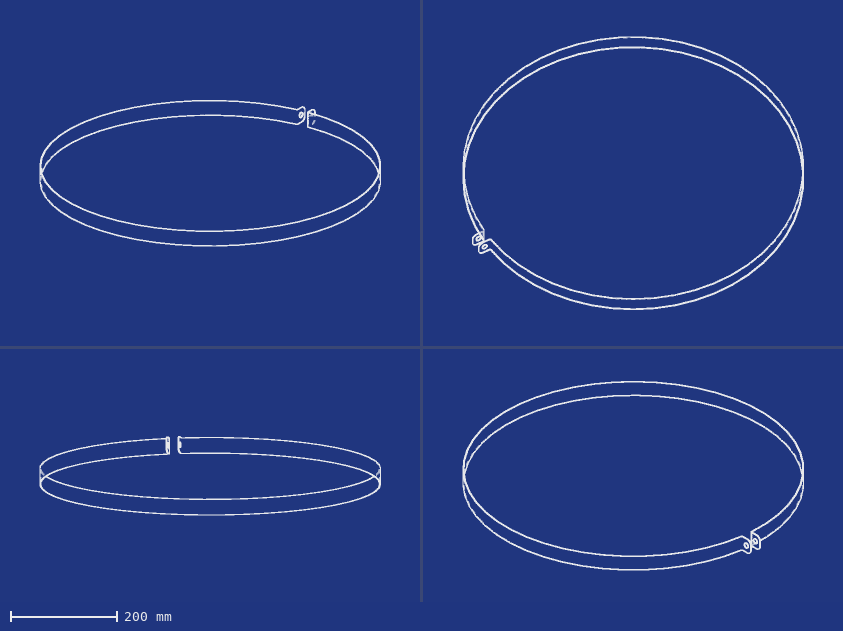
import cadquery as cq
import math

outer_radius = 321.5
thickness = 2.0
width = 30.0

lug_gap = 21.0
lug_tip_y = 345.64
lug_corner_radius = 10.0

hollow_bend_radius = 1.5
round_bend_radius = hollow_bend_radius + thickness

hole_diameter = 10.5
hole_to_tip = 13.0

inner_radius = outer_radius - thickness
lug_inner_x = lug_gap / 2
lug_outer_x = lug_inner_x + thickness


def on_circle(center, radius, angle):
    """Point at an angle on a circle."""
    return (center[0] + radius * math.cos(angle), center[1] + radius * math.sin(angle))


def bend_points(band_radius, lug_face_x, bend_radius):
    """Band end, middle and lug end of a bend arc tangent to a band circle and a lug face."""
    center_distance = band_radius + bend_radius
    center_x = lug_face_x + bend_radius
    center_angle = math.acos(center_x / center_distance)
    center = on_circle((0, 0), center_distance, center_angle)
    band_end = on_circle((0, 0), band_radius, center_angle)
    middle = on_circle(center, bend_radius, math.pi + center_angle / 2)
    lug_end = (lug_face_x, center[1])
    return band_end, middle, lug_end


def mirrored(point):
    """Matching point on the other side of the Y axis."""
    return (-point[0], point[1])


def make_strip():
    """Strip of constant thickness: lug, bend, band, bend, lug."""
    hollow_start, hollow_middle, hollow_end = bend_points(outer_radius, lug_outer_x, hollow_bend_radius)
    round_start, round_middle, round_end = bend_points(inner_radius, lug_inner_x, round_bend_radius)
    return (
        cq.Workplane("XY")
        .workplane(offset=-width / 2)
        .moveTo(lug_inner_x, lug_tip_y)
        .lineTo(lug_outer_x, lug_tip_y)
        .lineTo(*hollow_end)
        .threePointArc(hollow_middle, hollow_start)
        .threePointArc((0, -outer_radius), mirrored(hollow_start))
        .threePointArc(mirrored(hollow_middle), mirrored(hollow_end))
        .lineTo(-lug_outer_x, lug_tip_y)
        .lineTo(-lug_inner_x, lug_tip_y)
        .lineTo(*mirrored(round_end))
        .threePointArc(mirrored(round_middle), mirrored(round_start))
        .threePointArc((0, -inner_radius), round_start)
        .threePointArc(round_middle, round_end)
        .close()
        .extrude(width)
    )


def round_lug_corners(strip):
    """Round the upper and lower corners at the tip of each lug."""
    return strip.faces(">Y").edges("|X").fillet(lug_corner_radius)


def cut_bolt_holes(strip):
    """Cut the bolt hole along X through both lugs."""
    hole = (
        cq.Workplane("YZ")
        .center(lug_tip_y - hole_to_tip, 0)
        .circle(hole_diameter / 2)
        .extrude(lug_outer_x, both=True)
    )
    return strip.cut(hole)


result = cut_bolt_holes(round_lug_corners(make_strip()))